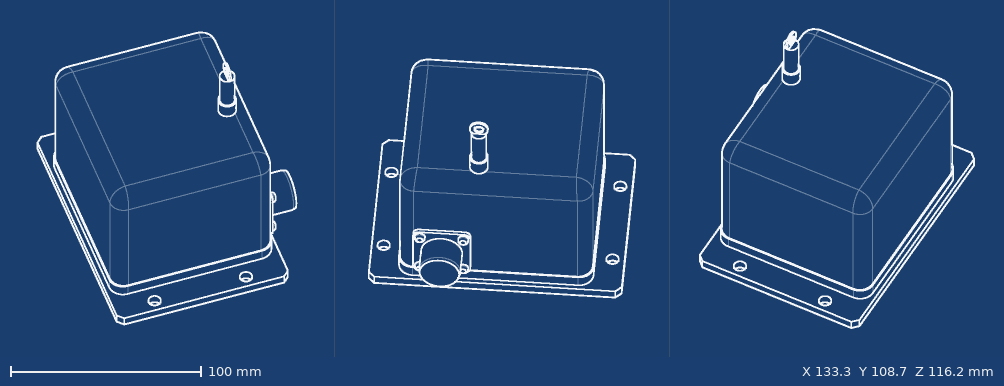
import cadquery as cq

PLATE_X = 133.35
PLATE_Y = 95.25
PLATE_T = 5.08
PLATE_CHAMFER = 3.175
MOUNT_HOLE_D = 6.53
MOUNT_PITCH_X = 120.65
MOUNT_PITCH_Y = 50.8

HOUSING_X = 101.6
HOUSING_Y = 88.9
HOUSING_TOP = 81.1
SIDE_RADIUS = 7.62
TOP_RADIUS = 8.89
SKIRT_STEP = 0.5
SKIRT_H = 6.35

OVERALL_H = 116.2
POST_X = 9.55
POST_Y = 32.55
SLEEVE_D = 9.53
SLEEVE_TOP = 89.0
POST_D = 7.92
POST_TOP = 108.0
EYE_D = 9.53
EYE_HOLE_D = 4.83
EYE_T = 1.0
EYE_Z = OVERALL_H - EYE_D / 2

OVERALL_Y = 108.71
WALL_Y = HOUSING_Y / 2
CONNECTOR_X = 28.1
CONNECTOR_Z = 26.5
CONNECTOR_END_Y = OVERALL_Y - PLATE_Y / 2
FLANGE_SIDE = 30.18
FLANGE_RADIUS = 3.175
FLANGE_T = 1.9
FLANGE_FACE_Y = WALL_Y + FLANGE_T
SHELL_D = 21.74
LIP_LENGTH = 1.9
LIP_INSET = 0.5

SCREW_PITCH = 22.86
SCREW_HEAD_D = 5.38
SCREW_HEAD_H = 2.4
SCREW_RIM_H = 0.9
SCREW_FLAT_D = 3.2
SCREW_MID_D = 4.6
SCREW_MID_H = 1.9

EMBED = 2.0


def wall_plane(x, y, z):
    """Plane at the given point whose normal points along +Y."""
    return cq.Plane(origin=(x, y, z), xDir=(1, 0, 0), normal=(0, 1, 0))


def make_plate():
    plate = cq.Workplane("XY").rect(PLATE_X, PLATE_Y).extrude(PLATE_T)
    plate = plate.edges("|Z").chamfer(PLATE_CHAMFER)
    holes = (
        cq.Workplane("XY")
        .rect(MOUNT_PITCH_X, MOUNT_PITCH_Y, forConstruction=True)
        .vertices()
        .circle(MOUNT_HOLE_D / 2)
        .extrude(PLATE_T)
    )
    return plate.cut(holes)


def make_housing():
    """Block whose roof edges carry a larger radius than its upright edges."""
    return (
        cq.Workplane("XY")
        .rect(HOUSING_X, HOUSING_Y)
        .extrude(HOUSING_TOP)
        .edges("|Z")
        .fillet(SIDE_RADIUS)
        .faces(">Z")
        .edges()
        .fillet(TOP_RADIUS)
    )


def make_skirt():
    return (
        cq.Workplane("XY")
        .rect(HOUSING_X + 2 * SKIRT_STEP, HOUSING_Y + 2 * SKIRT_STEP)
        .extrude(PLATE_T + SKIRT_H)
        .edges("|Z")
        .fillet(SIDE_RADIUS)
    )


def make_terminal():
    foot_z = HOUSING_TOP - TOP_RADIUS
    foot = cq.Workplane("XY", origin=(POST_X, POST_Y, foot_z))
    sleeve = foot.circle(SLEEVE_D / 2).extrude(SLEEVE_TOP - foot_z)
    post = foot.circle(POST_D / 2).extrude(POST_TOP - foot_z)
    eye_plane = wall_plane(POST_X, POST_Y - EYE_T / 2, EYE_Z)
    eye = cq.Workplane(eye_plane).circle(EYE_D / 2).extrude(EYE_T)
    above_post = cq.Workplane("XY", origin=(POST_X, POST_Y, POST_TOP)).rect(EYE_D, EYE_D).extrude(EYE_D)
    eye = eye.intersect(above_post)
    eye_hole = cq.Workplane(eye_plane).circle(EYE_HOLE_D / 2).extrude(EYE_T)
    return sleeve.union(post).union(eye).cut(eye_hole)


def make_screw_head(x, z):
    profile = (
        cq.Workplane("XY")
        .moveTo(0, -EMBED / 2)
        .lineTo(SCREW_HEAD_D / 2, -EMBED / 2)
        .lineTo(SCREW_HEAD_D / 2, SCREW_RIM_H)
        .threePointArc((SCREW_MID_D / 2, SCREW_MID_H), (SCREW_FLAT_D / 2, SCREW_HEAD_H))
        .lineTo(0, SCREW_HEAD_H)
        .close()
    )
    head = profile.revolve(360, (0, 0, 0), (0, 1, 0))
    return head.translate((x, FLANGE_FACE_Y, z))


def make_connector():
    flange = (
        cq.Workplane(wall_plane(CONNECTOR_X, WALL_Y - EMBED, CONNECTOR_Z))
        .rect(FLANGE_SIDE, FLANGE_SIDE)
        .extrude(FLANGE_T + EMBED)
        .edges("|Y")
        .fillet(FLANGE_RADIUS)
    )
    shell = (
        cq.Workplane(wall_plane(CONNECTOR_X, WALL_Y, CONNECTOR_Z))
        .circle(SHELL_D / 2)
        .extrude(CONNECTOR_END_Y - WALL_Y)
        .faces(">Y")
        .chamfer(LIP_LENGTH, LIP_INSET)
    )
    connector = flange.union(shell)
    for side_x in (-1, 1):
        for side_z in (-1, 1):
            screw_x = CONNECTOR_X + side_x * SCREW_PITCH / 2
            screw_z = CONNECTOR_Z + side_z * SCREW_PITCH / 2
            connector = connector.union(make_screw_head(screw_x, screw_z))
    return connector


result = (
    make_plate()
    .union(make_skirt())
    .union(make_housing())
    .union(make_terminal())
    .union(make_connector())
)